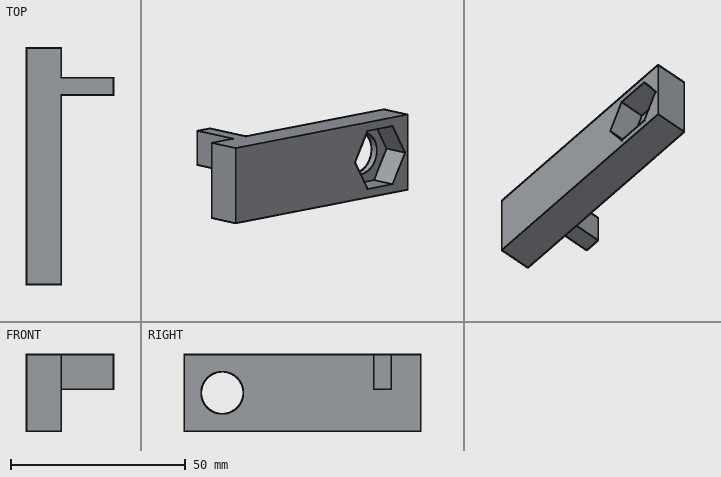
import cadquery as cq
import math

length = 67.75
thickness = 10.0
height = 22.0

total_width = 25.0
arm_width = 5.0
arm_height = 10.0
arm_end_gap = 8.5

bolt_diameter = 12.0
nut_across_flats = 17.0
nut_depth = 7.7
bolt_y = 10.9
bolt_z = height / 2


def make_plate():
    return cq.Workplane("XY").box(thickness, length, height, centered=False)


def make_arm():
    arm = cq.Workplane("XY").box(total_width - thickness, arm_width, arm_height, centered=False)
    arm_y = length - arm_end_gap - arm_width
    return arm.translate((thickness, arm_y, height - arm_height))


def make_bolt_cut():
    across_corners = nut_across_flats / math.cos(math.pi / 6)
    base = cq.Workplane("YZ").center(bolt_y, bolt_z)
    hole = base.circle(bolt_diameter / 2).extrude(thickness)
    nut_pocket = base.polygon(6, across_corners).extrude(nut_depth)
    return hole.union(nut_pocket)


result = make_plate().union(make_arm()).cut(make_bolt_cut())